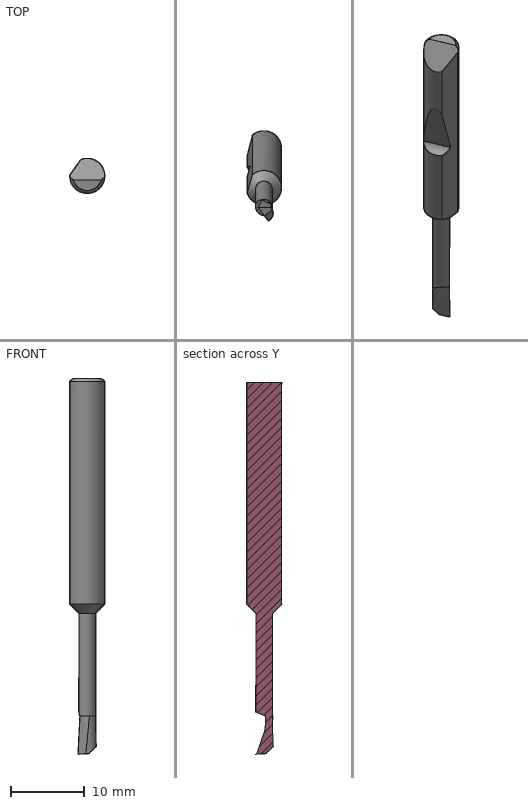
import math

import cadquery as cq

total_length = 50.8
shank_diameter = 4.7625
shank_radius = shank_diameter / 2
neck_radius = 1.15

tip_top_z = 5.17
neck_top_z = 19.05
shank_bottom_z = neck_top_z + shank_radius - neck_radius

end_chamfer = 0.4
end_slope_start_y = -0.53
end_slope_angle = 45
flat_start_angle = 177.5
flat_end_angle = 111.5

notch_bottom_z = 32.25
notch_floor_y = 1.05
notch_floor_z = 33.0
notch_arc_middle = (1.65, 32.45)
notch_slope_angle = 9.5

neck_relief_angle = 45

end_section = {"radius": 1.3, "edge": (-1.27, 0.0), "heel": (-0.2, -1.3), "far": (1.25, 0.12)}
root_section = {"radius": neck_radius, "edge": (-1.0, -0.5), "heel": (0.3, -1.11), "far": (1.06, 0.44)}
nose_radius = 0.1
end_relief_x = 0.22
end_relief_rise = 0.08

margin = 2 * shank_radius


def make_body():
    """Shank, cone and neck turned about Z."""
    return (
        cq.Workplane("XZ")
        .moveTo(0, tip_top_z)
        .lineTo(neck_radius, tip_top_z)
        .lineTo(neck_radius, neck_top_z)
        .lineTo(shank_radius, shank_bottom_z)
        .lineTo(shank_radius, total_length - end_chamfer)
        .lineTo(shank_radius - end_chamfer, total_length)
        .lineTo(0, total_length)
        .close()
        .revolve(360, (0, 0), (0, 1))
    )


def across_x(profile):
    """Extrude a closed YZ profile through the full width of the part."""
    return profile.close().extrude(margin, both=True)


def make_end_slope():
    """Wedge that slopes the shank end down toward +Y."""
    run = margin - end_slope_start_y
    drop = run * math.tan(math.radians(end_slope_angle))
    return across_x(
        cq.Workplane("YZ")
        .moveTo(end_slope_start_y, total_length)
        .lineTo(margin, total_length)
        .lineTo(margin, total_length - drop)
    )


def make_flat():
    """Block that leaves a flat along the -X, +Y side of the shank and cone."""
    half_angle = math.radians(flat_start_angle - flat_end_angle) / 2
    flat_distance = shank_radius * math.cos(half_angle)
    return (
        cq.Workplane("XY", origin=(0, 0, neck_top_z))
        .center(flat_distance + margin / 2, 0)
        .rect(margin, 2 * margin)
        .extrude(total_length - neck_top_z)
        .rotate((0, 0, 0), (0, 0, 1), (flat_start_angle + flat_end_angle) / 2)
    )


def make_notch():
    """Notch with a long sloping floor and a rounded lower end."""
    slope_top_z = notch_floor_z + (margin - notch_floor_y) / math.tan(math.radians(notch_slope_angle))
    return across_x(
        cq.Workplane("YZ")
        .moveTo(margin, slope_top_z)
        .lineTo(notch_floor_y, notch_floor_z)
        .threePointArc(notch_arc_middle, (shank_radius, notch_bottom_z))
        .lineTo(margin, notch_bottom_z)
    )


def make_neck_relief():
    """Wedge that slopes the neck end from the rake face up toward +Y."""
    rise = margin * math.tan(math.radians(neck_relief_angle))
    wedge = across_x(
        cq.Workplane("YZ")
        .moveTo(0, tip_top_z)
        .lineTo(margin, tip_top_z)
        .lineTo(margin, tip_top_z + rise)
    )
    edge_x, edge_y = root_section["edge"]
    far_x, far_y = root_section["far"]
    rake_twist = math.degrees(math.atan2(far_y - edge_y, far_x - edge_x))
    return wedge.rotate((0, 0, 0), (0, 0, 1), rake_twist).translate((edge_x, edge_y, 0))


def draw_section(plane, section):
    """Outline with a straight flank, a round back and a straight rake face."""
    heel_angle = math.atan2(section["heel"][1], section["heel"][0])
    far_angle = math.atan2(section["far"][1], section["far"][0])
    middle_angle = (heel_angle + far_angle) / 2
    back_middle = (
        section["radius"] * math.cos(middle_angle),
        section["radius"] * math.sin(middle_angle),
    )
    return (
        plane.moveTo(*section["edge"])
        .lineTo(*section["heel"])
        .threePointArc(back_middle, section["far"])
        .close()
    )


def make_tip():
    """Cutting tip: grows toward its end while the rake face twists."""
    end = draw_section(cq.Workplane("XY"), end_section)
    blank = draw_section(end.workplane(offset=tip_top_z), root_section).loft(ruled=True)
    edge_x = end_section["edge"][0]
    nose_x = edge_x + nose_radius
    nose_inset = nose_radius * (1 - math.sqrt(0.5))
    corner_run = margin - end_relief_x
    end_relief = (
        cq.Workplane("XZ")
        .moveTo(edge_x, nose_radius)
        .threePointArc((edge_x + nose_inset, nose_inset), (nose_x, 0))
        .lineTo(end_relief_x, end_relief_rise)
        .lineTo(margin, end_relief_rise + corner_run)
        .lineTo(margin, -margin)
        .lineTo(edge_x, -margin)
        .close()
        .extrude(margin, both=True)
    )
    return blank.cut(end_relief)


body = make_body()
for cutter in (make_end_slope(), make_flat(), make_notch(), make_neck_relief()):
    body = body.cut(cutter)

result = body.union(make_tip())